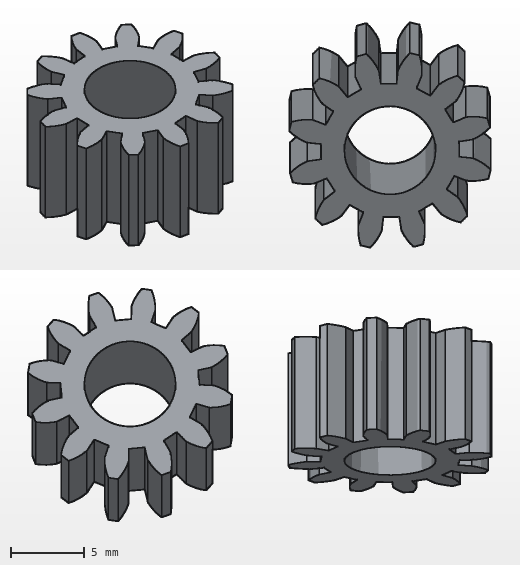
import cadquery as cq
import math

tooth_count = 12
outer_size = 13.99
face_width = 8.0
bore_diameter = 6.21
bore_flat_width = 0.52

tip_distance = outer_size / 2
tip_half_width = 0.34
flank_distance = 6.42
flank_half_width = 0.62
shoulder_distance = 5.62
shoulder_half_width = 0.83
root_distance = 4.69
root_half_width = 0.7


def tooth_point(tooth, distance, offset):
    """Point at a distance along a tooth's centreline, offset to its counter-clockwise side."""
    angle = math.radians(tooth * 360 / tooth_count)
    x = distance * math.cos(angle) - offset * math.sin(angle)
    y = distance * math.sin(angle) + offset * math.cos(angle)
    return x, y


def gear_outline():
    """Teeth with straight lower flanks and curved upper flanks, joined by flat root lands."""
    outline = cq.Workplane("XY").moveTo(*tooth_point(0, root_distance, -root_half_width))
    for tooth in range(tooth_count):
        if tooth > 0:
            outline = outline.lineTo(*tooth_point(tooth, root_distance, -root_half_width))
        outline = (
            outline.lineTo(*tooth_point(tooth, shoulder_distance, -shoulder_half_width))
            .threePointArc(
                tooth_point(tooth, flank_distance, -flank_half_width),
                tooth_point(tooth, tip_distance, -tip_half_width),
            )
            .lineTo(*tooth_point(tooth, tip_distance, tip_half_width))
            .threePointArc(
                tooth_point(tooth, flank_distance, flank_half_width),
                tooth_point(tooth, shoulder_distance, shoulder_half_width),
            )
            .lineTo(*tooth_point(tooth, root_distance, root_half_width))
        )
    return outline.close()


def bore_cutter():
    """Round bore whose +Y side is closed by a narrow flat chord."""
    radius = bore_diameter / 2
    half_flat = bore_flat_width / 2
    flat_y = math.sqrt(radius**2 - half_flat**2)
    return (
        cq.Workplane("XY")
        .moveTo(half_flat, flat_y)
        .threePointArc((0, -radius), (-half_flat, flat_y))
        .close()
        .extrude(face_width)
    )


result = gear_outline().extrude(face_width).cut(bore_cutter())